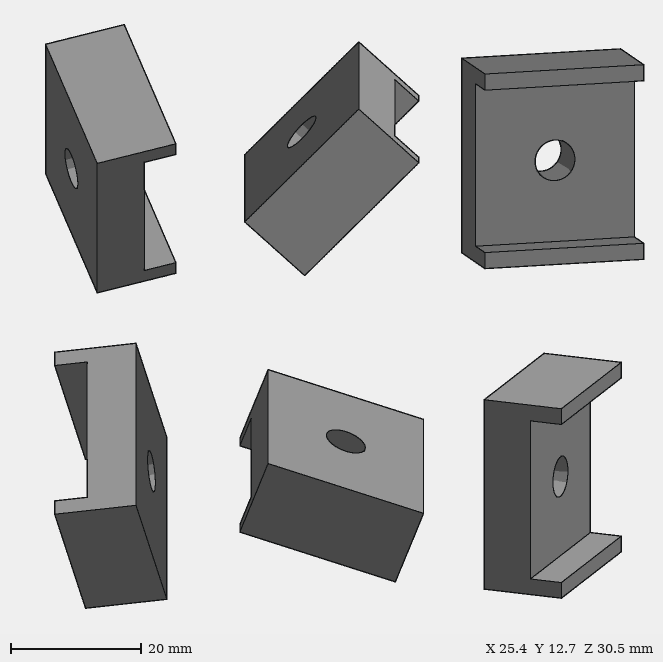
import cadquery as cq

height = 30.48
width = 25.4
depth = 12.7
flange_thickness = 2.53
channel_depth = 5.1
hole_diameter = 6.35

channel_height = height - 2 * flange_thickness
channel_center_y = (depth - channel_depth) / 2

block = cq.Workplane("XY").box(width, depth, height)

channel = (
    cq.Workplane("XY")
    .box(width, channel_depth, channel_height)
    .translate((0, channel_center_y, 0))
)

hole = cq.Workplane("XZ").circle(hole_diameter / 2).extrude(depth / 2, both=True)

result = block.cut(channel).cut(hole)